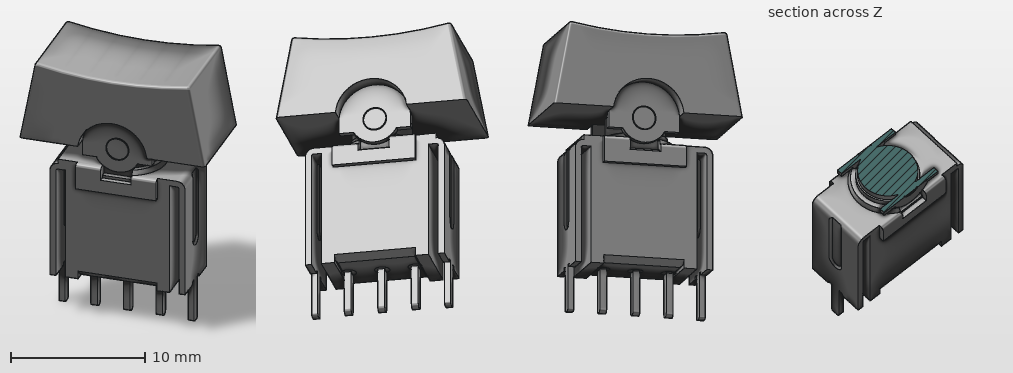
import cadquery as cq
import math

housing_length = 8.18
housing_depth = 5.06
housing_bottom = 3.27
frame_length = 10.62
frame_thickness = 0.47
frame_bend_radius = 0.65
frame_top = 12.65
frame_underside = frame_top - frame_thickness
leg_pin_width = 0.8
leg_pin_fillet = 0.2
relief_width = 0.38
relief_height = 0.24
relief_fillet = 0.09

groove_width = 1.37
groove_depth = 0.15
groove_wall_run = 0.21
groove_bottom = 6.28

raised_top = 13.01
raised_left_end = -4.65
flap_length = 6.33
flap_depth = 5.92
flap_bottom = 10.98
flap_fillet = 0.32
collar_top_radius = 2.78
collar_base_radius = 2.97

notch_width = 2.37
flap_notch_floor = 12.0
housing_notch_floor = 12.22

bushing_radius = 2.4
bushing_top = 13.5
neck_radius = 2.27

terminal_pitch = 2.56
terminal_thickness = 0.53
terminal_width = 0.73
terminal_tip_radius = 0.35
potting_length = 6.2
potting_bottom = 3.42
potting_top = 3.93
potting_side_chamfer = 0.5
potting_end_chamfer = 0.17
terminal_fillet_height = 0.1
terminal_fillet_radius = 0.58

pivot_height = 14.6
rocker_depth = 7.63
rocker_length = 14.6
rocker_side_angle = 10.7
rocker_bottom_left = 15.0
rocker_bottom_right = 14.85
rocker_corner_left = 21.41
rocker_corner_right = 21.3
rocker_dish = 20.8
rocker_fillet = 0.25
ear_radius = 2.74
ear_outer_depth = 5.17
ear_inner_depth = 4.2
ear_bottom_left = 13.72
ear_bottom_right = 13.63
ear_boss_radius = 1.88
pin_radius = 0.85
pin_hole_radius = 0.9
pin_gap_depth = 0.06


def box(length, depth, bottom, top, x=0.0, y=0.0):
    """Block centred at x, y that spans the heights bottom to top."""
    return cq.Workplane("XY", origin=(x, y, bottom)).box(
        length, depth, top - bottom, centered=(True, True, False)
    )


def cylinder(radius, bottom, top):
    """Upright cylinder on the part axis."""
    return cq.Workplane("XY", origin=(0, 0, bottom)).circle(radius).extrude(top - bottom)


def cross_cylinder(radius, depth):
    """Cylinder along Y through the pivot."""
    return cq.Workplane("XZ", origin=(0, 0, pivot_height)).circle(radius).extrude(depth / 2, both=True)


def make_groove(x_face):
    """Tapered body of the pressed groove, sinking in +X from the plane x_face."""
    radius = groove_width / 2
    arc_height = groove_bottom + radius
    return (
        cq.Workplane("YZ", origin=(x_face, 0, 0))
        .moveTo(-radius, frame_top)
        .lineTo(-radius, arc_height)
        .threePointArc((0, groove_bottom), (radius, arc_height))
        .lineTo(radius, frame_top)
        .close()
        .extrude(groove_depth, taper=math.degrees(math.atan2(groove_wall_run, groove_depth)))
    )


def make_blade(thickness, width, top, tip_radius, x):
    """Flat pin reaching down to the lowest level, with the corners of its tip rounded."""
    return box(thickness, width, 0, top, x=x).edges("|X and <Z").fillet(tip_radius)


def make_frame():
    """Bent metal sheet over the housing, with a grooved leg and a solder pin at each end."""
    outer = box(frame_length, housing_depth, housing_bottom, frame_top)
    outer = outer.edges("|Y and >Z").fillet(frame_bend_radius)
    inner = box(
        frame_length - 2 * frame_thickness, housing_depth, housing_bottom, frame_underside
    )
    inner = inner.edges("|Y and >Z").fillet(frame_bend_radius - frame_thickness)
    frame = outer.cut(inner)

    left_face = -frame_length / 2
    ridge_limit = box(frame_length, housing_depth, housing_bottom, frame_underside)
    groove = make_groove(left_face)
    ridge = make_groove(left_face + frame_thickness).intersect(ridge_limit)
    pin_top = housing_bottom + relief_height
    pin_x = left_face + frame_thickness / 2
    pin = make_blade(frame_thickness, leg_pin_width, pin_top, leg_pin_fillet, pin_x)
    frame = frame.union(ridge).union(ridge.mirror("YZ"))
    frame = frame.cut(groove).cut(groove.mirror("YZ"))

    relief_offset = (leg_pin_width + relief_width) / 2
    for side in (-1, 1):
        relief = box(
            frame_length, relief_width, housing_bottom, housing_bottom + relief_height, y=side * relief_offset
        )
        frame = frame.cut(relief.edges("|X and >Z").fillet(relief_fillet))
    return frame.union(pin).union(pin.mirror("YZ"))


def make_raised_plate():
    """Plate raised on its left half and around the bushing, with a flap down each side."""
    half_flap = flap_length / 2
    left_cover = box(half_flap, flap_depth, flap_bottom, raised_top, x=-half_flap / 2)
    right_cover = box(half_flap, flap_depth, flap_bottom, frame_top, x=half_flap / 2)
    covers = left_cover.edges("|X and >Z").fillet(flap_fillet)
    covers = covers.union(right_cover.edges("|X and >Z").fillet(flap_fillet))

    step = box(-raised_left_end, housing_depth, housing_notch_floor, raised_top, x=raised_left_end / 2)
    collar = (
        cq.Workplane("XY", origin=(0, 0, frame_top))
        .circle(collar_base_radius)
        .workplane(offset=raised_top - frame_top)
        .circle(collar_top_radius)
        .loft()
    )
    full_cover = box(flap_length, flap_depth, flap_bottom, raised_top)
    collar = collar.intersect(full_cover.edges("|X and >Z").fillet(flap_fillet))
    return covers.union(step).union(collar)


def make_notches():
    """Clearance cuts for the two rocker ears."""
    housing_notch_depth = (housing_depth - ear_inner_depth) / 2
    flap_thickness = (flap_depth - housing_depth) / 2
    notches = cq.Workplane("XY")
    for side in (-1, 1):
        y_inner = side * (housing_depth - housing_notch_depth) / 2
        y_flap = side * (flap_depth - flap_thickness) / 2
        notches = notches.add(
            box(notch_width, housing_notch_depth, housing_notch_floor, raised_top, y=y_inner)
            .union(box(notch_width, flap_thickness, flap_notch_floor, raised_top, y=y_flap))
        )
    return notches.combine()


def make_terminal(x):
    """Flat terminal with a rounded tip and a small cone where it leaves the potting."""
    blade = make_blade(terminal_thickness, terminal_width, potting_top, terminal_tip_radius, x)
    cone = (
        cq.Workplane("XY", origin=(x, 0, potting_bottom))
        .circle(terminal_fillet_radius)
        .workplane(offset=-terminal_fillet_height)
        .circle(terminal_thickness / 2)
        .loft()
    )
    return blade.union(cone)


def make_housing():
    """Housing block with a recess below that is filled by chamfered potting."""
    housing = box(housing_length, housing_depth, housing_bottom, frame_underside)
    housing = housing.cut(box(potting_length, housing_depth, housing_bottom, potting_top))
    potting = box(potting_length, housing_depth, potting_bottom, potting_top)
    potting = potting.edges("|X and <Z").chamfer(potting_side_chamfer)
    return housing.union(potting.edges("|Y and <Z").chamfer(potting_end_chamfer))


def make_bushing():
    """Stepped bushing up to the rocker, with flats that fit between the ears."""
    bushing = cylinder(bushing_radius, frame_top, bushing_top)
    bushing = bushing.union(cylinder(neck_radius, bushing_top, rocker_bottom_left))
    return bushing.intersect(box(2 * bushing_radius, ear_inner_depth, frame_top, rocker_bottom_left))


def make_rocker_body():
    """Dished trapezoid with rounded edges and an arched recess on each side."""
    half_length = rocker_length / 2
    slope = math.tan(math.radians(rocker_side_angle))
    left_corner = -half_length + slope * (rocker_corner_left - rocker_bottom_left)
    right_corner = half_length - slope * (rocker_corner_right - rocker_bottom_right)
    body = (
        cq.Workplane("XZ")
        .moveTo(-half_length, rocker_bottom_left)
        .lineTo(left_corner, rocker_corner_left)
        .threePointArc((0, rocker_dish), (right_corner, rocker_corner_right))
        .lineTo(half_length, rocker_bottom_right)
        .lineTo(0, rocker_bottom_right)
        .lineTo(0, rocker_bottom_left)
        .close()
        .extrude(rocker_depth / 2, both=True)
    )
    outside = cq.selectors.BoxSelector(
        (-rocker_length, -rocker_depth, rocker_bottom_left + rocker_fillet),
        (rocker_length, rocker_depth, rocker_corner_left + rocker_fillet),
    )
    body = body.edges(outside).fillet(rocker_fillet)
    arch = cross_cylinder(ear_radius, rocker_depth)
    return body.cut(arch.cut(cross_cylinder(ear_radius, ear_outer_depth)))


def make_ears():
    """Pair of ears that hang from the rocker, with round bosses at the pivot."""
    ears = cross_cylinder(ear_radius, ear_outer_depth).intersect(
        box(2 * ear_radius, ear_outer_depth, pivot_height, pivot_height + ear_radius)
    )
    for side, ear_bottom in ((-1, ear_bottom_left), (1, ear_bottom_right)):
        ears = ears.union(box(ear_radius, ear_outer_depth, ear_bottom, pivot_height, x=side * ear_radius / 2))
    ears = ears.union(cross_cylinder(ear_boss_radius, ear_outer_depth))
    return ears.cut(box(2 * ear_radius, ear_inner_depth, 0, rocker_bottom_left))


def make_pin_gap():
    """Narrow ring around each end of the pivot pin, sunk into the outer face of the ear."""
    gap = cross_cylinder(pin_hole_radius, ear_outer_depth)
    gap = gap.cut(cross_cylinder(pin_radius, ear_outer_depth))
    return gap.cut(box(rocker_length, ear_outer_depth - 2 * pin_gap_depth, 0, rocker_dish))


result = make_frame().union(make_housing()).union(make_raised_plate()).cut(make_notches())
result = result.union(make_bushing())
for position in (-1, 0, 1):
    result = result.union(make_terminal(position * terminal_pitch))
result = result.union(make_rocker_body()).union(make_ears()).cut(make_pin_gap())